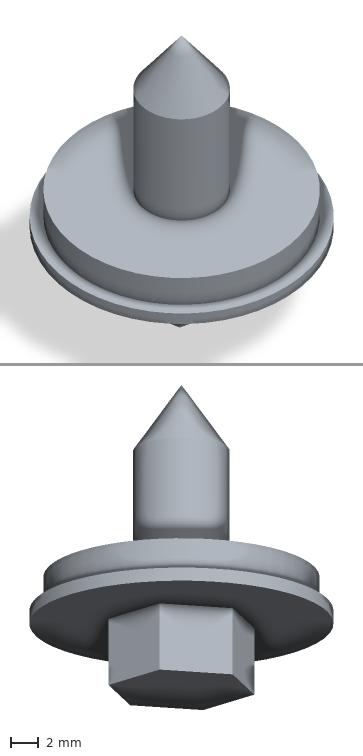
import cadquery as cq
import math

total_height = 23.0

hex_across_flats = 9.38
hex_across_corners = hex_across_flats / math.cos(math.pi / 6)
hex_height = 5.0

flange_diameter = 22.0
flange_height = 1.0
disc_diameter = 20.0
disc_height = 2.5

pin_diameter = 7.0
point_height = 5.0

flange_bottom = hex_height
disc_bottom = flange_bottom + flange_height
disc_top = disc_bottom + disc_height
point_bottom = total_height - point_height

head = cq.Workplane("XY").polygon(6, hex_across_corners).extrude(hex_height)

turned_body = (
    cq.Workplane("XZ")
    .moveTo(0, flange_bottom)
    .lineTo(flange_diameter / 2, flange_bottom)
    .lineTo(flange_diameter / 2, disc_bottom)
    .lineTo(disc_diameter / 2, disc_bottom)
    .lineTo(disc_diameter / 2, disc_top)
    .lineTo(pin_diameter / 2, disc_top)
    .lineTo(pin_diameter / 2, point_bottom)
    .lineTo(0, total_height)
    .close()
    .revolve(360, (0, 0, 0), (0, 1, 0))
)

result = head.union(turned_body)